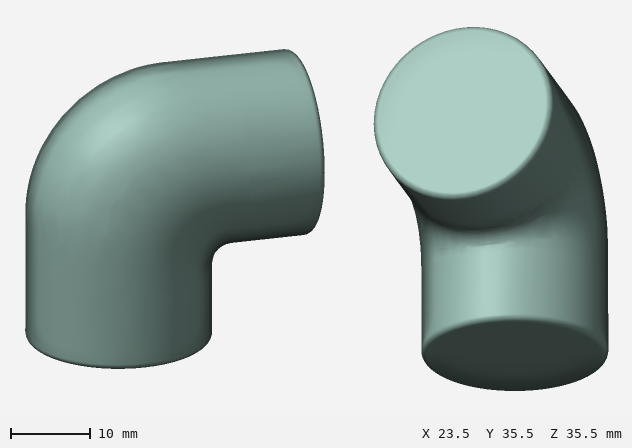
import cadquery as cq
import math

overall = 35.45
pipe_diameter = 23.5
collar_length = 10.0
rim_radius = 0.78
outer_bend_radius = 18.68
bend_sections = 19

pipe_radius = pipe_diameter / 2
arm_length = overall - pipe_radius
hinge_offset = arm_length - collar_length
inner_bend_radius = hinge_offset - pipe_radius
outer_reach = hinge_offset + pipe_radius
outer_arc_offset = outer_reach - outer_bend_radius


def outer_distance(angle):
    """Distance from the hinge line to the outside of the bend at an angle from -Y."""
    cosine = math.cos(angle)
    sine = math.sin(angle)
    larger = max(cosine, sine)
    smaller = min(cosine, sine)
    if outer_reach * smaller / larger <= outer_arc_offset:
        return outer_reach / larger
    across = outer_arc_offset * (cosine - sine)
    along = outer_arc_offset * (cosine + sine)
    return along + math.sqrt(outer_bend_radius**2 - across**2)


def bend_section(angle):
    """Elliptical section of the bend in the plane turned about the hinge line."""
    outer = outer_distance(angle)
    centre = (outer + inner_bend_radius) / 2
    half_height = max(pipe_radius, (outer - inner_bend_radius) / 2)
    direction = cq.Vector(0, -math.cos(angle), math.sin(angle))
    hinge = cq.Vector(0, hinge_offset, -hinge_offset)
    plane_normal = direction.cross(cq.Vector(1, 0, 0))
    return cq.Wire.makeEllipse(
        half_height, pipe_radius, hinge + direction * centre, plane_normal, -direction,
    )


def collar(plane):
    """Straight collar from the bend to a rounded rim."""
    return (
        cq.Workplane(plane)
        .workplane(offset=hinge_offset)
        .circle(pipe_radius)
        .extrude(collar_length)
        .faces(cq.selectors.DirectionMinMaxSelector(plane.zDir, True))
        .edges()
        .fillet(rim_radius)
    )


lower_plane = cq.Plane(origin=(0, 0, 0), xDir=(1, 0, 0), normal=(0, 0, -1))
rear_plane = cq.Plane(origin=(0, 0, 0), xDir=(1, 0, 0), normal=(0, 1, 0))

angle_step = math.pi / 2 / (bend_sections - 1)
sections = [bend_section(i * angle_step) for i in range(bend_sections)]
bend = cq.Workplane(cq.Solid.makeLoft(sections))

result = bend.union(collar(lower_plane)).union(collar(rear_plane))